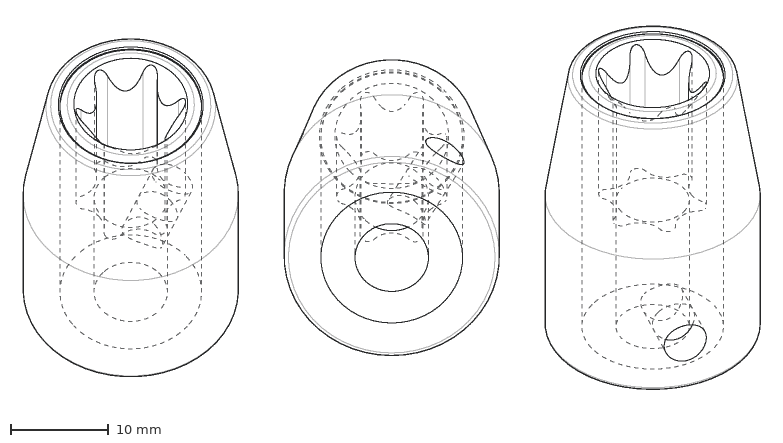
import cadquery as cq
import math

total_height = 32.3
body_radius = 10.998

sleeve_height = 32.1
taper_start = 16.85
taper_top_radius = 8.6
top_round = 0.5
bottom_round = 0.45
bore_edge_chamfer = 0.15

insert_radius = 7.25
rim_round = 0.75
through_radius = 3.75
mouth_radius = 5.8
mouth_half_angle = 30.0

lobe_count = 6
lobe_tip_radius = 5.62
valley_radius = 4.0
lobe_round = 0.85
socket_floor = 16.15

detent_radius = 2.25
detent_height = 5.75


def polar(radius, degrees):
    angle = math.radians(degrees)
    return (radius * math.cos(angle), radius * math.sin(angle))


def make_detent_hole():
    return (
        cq.Workplane("XZ", origin=(0, 0, detent_height))
        .circle(detent_radius)
        .extrude(-body_radius)
    )


def make_sleeve():
    sleeve = (
        cq.Workplane("XZ")
        .moveTo(insert_radius, 0)
        .lineTo(body_radius, 0)
        .lineTo(body_radius, taper_start)
        .lineTo(taper_top_radius, sleeve_height)
        .lineTo(insert_radius, sleeve_height)
        .close()
        .revolve(360, (0, 0, 0), (0, 1, 0))
    )
    outer_edge = cq.selectors.RadiusNthSelector(-1)
    bore_edge = cq.selectors.RadiusNthSelector(0)
    sleeve = sleeve.faces(">Z").edges(outer_edge).fillet(top_round)
    sleeve = sleeve.faces(">Z").edges(bore_edge).chamfer(bore_edge_chamfer)
    sleeve = sleeve.faces("<Z").edges(outer_edge).fillet(bottom_round)
    return sleeve.cut(make_detent_hole())


def make_socket_cutter():
    """Six-lobed prism: concave lobe arcs tangent to the convex valley arcs between them."""
    pitch = 360.0 / lobe_count
    half_pitch = pitch / 2
    lobe_x, lobe_y = polar(lobe_tip_radius - lobe_round, half_pitch)

    inset = lobe_x - valley_radius
    valley_round = (inset**2 + lobe_y**2 - lobe_round**2) / (2 * (lobe_round + inset))
    valley_center = valley_radius + valley_round

    share = valley_round / (valley_round + lobe_round)
    tangent_x = valley_center + share * (lobe_x - valley_center)
    tangent_y = share * lobe_y
    tangent_radius = math.hypot(tangent_x, tangent_y)
    tangent_angle = math.degrees(math.atan2(tangent_y, tangent_x))

    outline = cq.Workplane("XY", origin=(0, 0, socket_floor)).moveTo(tangent_x, tangent_y)
    for index in range(lobe_count):
        start = index * pitch
        end = start + pitch
        outline = outline.threePointArc(
            polar(lobe_tip_radius, start + half_pitch),
            polar(tangent_radius, end - tangent_angle),
        )
        outline = outline.threePointArc(
            polar(valley_radius, end),
            polar(tangent_radius, end + tangent_angle),
        )
    return outline.close().extrude(total_height - socket_floor)


def make_mouth_cutter():
    mouth_depth = mouth_radius / math.tan(math.radians(mouth_half_angle))
    return (
        cq.Workplane("XZ")
        .moveTo(0, total_height)
        .lineTo(mouth_radius, total_height)
        .lineTo(0, total_height - mouth_depth)
        .close()
        .revolve(360, (0, 0, 0), (0, 1, 0))
    )


def make_insert():
    insert = cq.Workplane("XY").circle(insert_radius).extrude(total_height)
    insert = insert.faces(">Z").edges().fillet(rim_round)
    through_hole = cq.Workplane("XY").circle(through_radius).extrude(total_height)
    return (
        insert.cut(through_hole)
        .cut(make_socket_cutter())
        .cut(make_mouth_cutter())
        .cut(make_detent_hole())
    )


sleeve = make_sleeve()
insert = make_insert()
result = cq.Compound.makeCompound([sleeve.val(), insert.val()])